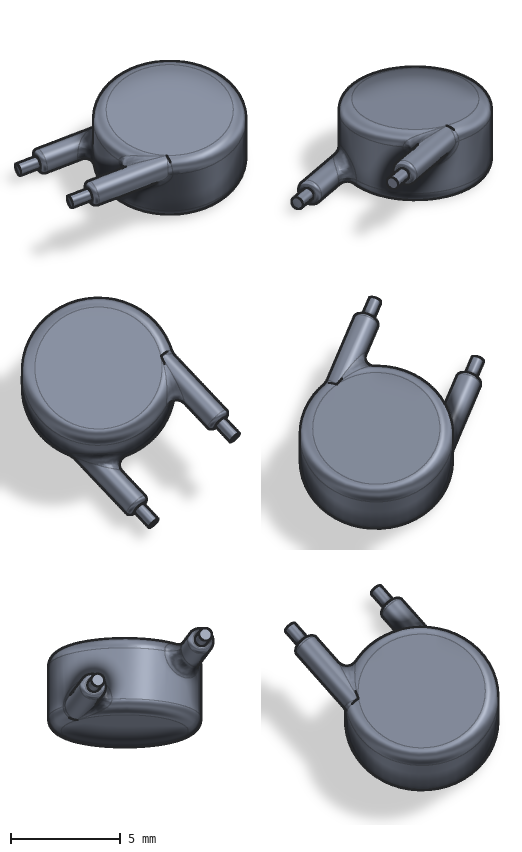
import cadquery as cq

body_radius = 3.5
body_height = 3.6
rim_radius = 0.6

lead_offset = 2.5
sleeve_radius = 0.6
sleeve_end_y = -5.5
sleeve_end_round = 0.2
wire_radius = 0.3
wire_end_y = -6.5
lead_start_y = -1.5
blend_radius = 0.5


def rod(x, z, radius, end_y):
    """Round rod along -Y, starting inside the body."""
    plane = cq.Plane(origin=(x, lead_start_y, z), xDir=(1, 0, 0), normal=(0, -1, 0))
    return cq.Workplane(plane).circle(radius).extrude(lead_start_y - end_y)


def rounded_body():
    """Disc with both rims rounded."""
    disc = cq.Workplane("XY").circle(body_radius).extrude(body_height)
    return disc.edges().fillet(rim_radius)


def rounded_sleeve(x, z):
    """Insulating sleeve with a rounded free end."""
    sleeve = rod(x, z, sleeve_radius, sleeve_end_y)
    return sleeve.faces("<Y").edges().fillet(sleeve_end_round)


lead_places = [
    (-lead_offset, sleeve_radius),
    (lead_offset, body_height - sleeve_radius),
]

result = rounded_body()
for x, z in lead_places:
    result = result.union(rounded_sleeve(x, z))

result = result.edges("%BSPLINE").edges(cq.selectors.LengthNthSelector(-1)).fillet(blend_radius)

for x, z in lead_places:
    result = result.union(rod(x, z, wire_radius, wire_end_y))